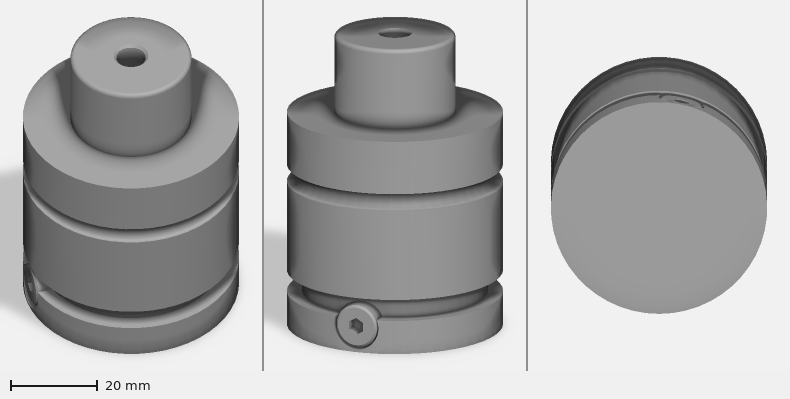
import cadquery as cq
import math

total_height = 70.0
body_diameter = 50.0
shoulder_height = 51.1
boss_diameter = 28.0
boss_edge_radius = 1.0

groove_radius = 2.0
groove_height = 36.5

neck_diameter = 43.0
neck_bottom = 8.0
neck_top = 13.0

hole_diameter = 6.8
hole_mouth_diameter = 8.0
hole_depth = 17.5
drill_point_angle = 118.0

screw_height = 6.0
screw_diameter = 10.0
screw_chamfer = 0.5
screw_face_distance = 24.5
pocket_diameter = 11.0
pocket_floor_distance = 20.0
socket_across_flats = 3.5
socket_depth = 2.8

body_radius = body_diameter / 2
boss_radius = boss_diameter / 2
neck_radius = neck_diameter / 2


def turned_body():
    profile = (
        cq.Workplane("XZ")
        .lineTo(body_radius, 0)
        .lineTo(body_radius, neck_bottom)
        .lineTo(neck_radius, neck_bottom)
        .lineTo(neck_radius, neck_top)
        .lineTo(body_radius, neck_top)
        .lineTo(body_radius, groove_height - groove_radius)
        .threePointArc(
            (body_radius - groove_radius, groove_height),
            (body_radius, groove_height + groove_radius),
        )
        .lineTo(body_radius, shoulder_height)
        .lineTo(boss_radius, shoulder_height)
        .lineTo(boss_radius, total_height)
        .lineTo(0, total_height)
        .close()
    )
    body = profile.revolve(360, (0, 0, 0), (0, 1, 0))
    return body.faces(">Z").edges().fillet(boss_edge_radius)


def boss_hole():
    hole_radius = hole_diameter / 2
    mouth_radius = hole_mouth_diameter / 2
    mouth_depth = mouth_radius - hole_radius
    point_depth = hole_radius / math.tan(math.radians(drill_point_angle / 2))
    hole_bottom = total_height - hole_depth
    profile = (
        cq.Workplane("XZ")
        .moveTo(0, total_height)
        .lineTo(mouth_radius, total_height)
        .lineTo(hole_radius, total_height - mouth_depth)
        .lineTo(hole_radius, hole_bottom)
        .lineTo(0, hole_bottom - point_depth)
        .close()
    )
    return profile.revolve(360, (0, 0, 0), (0, 1, 0))


def radial_plane(distance):
    """Workplane facing -Y, centred on the screw axis at a distance from the body axis."""
    return cq.Workplane("XZ", origin=(0, -distance, screw_height))


def screw_pocket():
    depth = body_radius - pocket_floor_distance
    return radial_plane(pocket_floor_distance).circle(pocket_diameter / 2).extrude(depth)


def screw_head():
    length = screw_face_distance - pocket_floor_distance
    head = radial_plane(pocket_floor_distance).circle(screw_diameter / 2).extrude(length)
    head = head.faces("<Y").edges().chamfer(screw_chamfer)
    across_corners = socket_across_flats / math.cos(math.pi / 6)
    socket = (
        radial_plane(screw_face_distance)
        .transformed(rotate=(0, 0, 90))
        .polygon(6, across_corners)
        .extrude(-socket_depth)
    )
    return head.cut(socket)


result = turned_body().cut(boss_hole()).cut(screw_pocket()).union(screw_head())